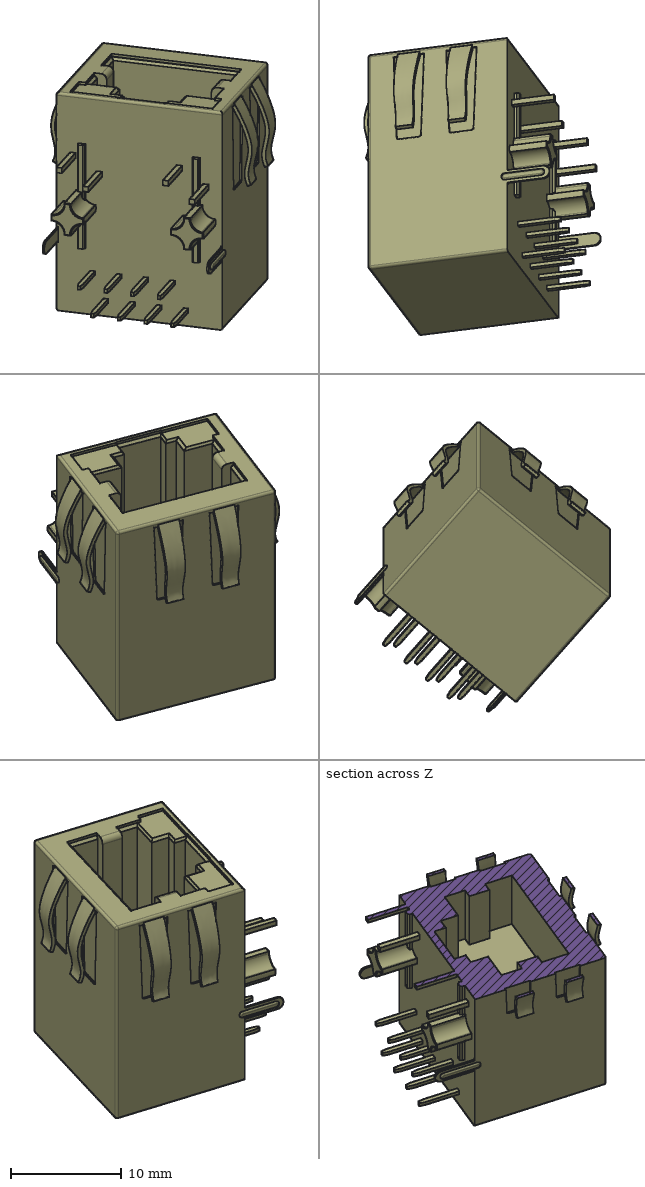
import cadquery as cq
import math


width = 15.87
height = 13.25
length = 21.25
edge_radius = 0.25
sheet = 0.17
overlap = 0.17

lead_in = 0.25
cavity_depth = 11.69
window_half = 6.18
cavity_half = [
    (5.9, 10.4), (5.9, 3.65), (3.1, 3.65), (3.1, 1.91), (2.06, 1.91), (2.06, 0.76)]
mouth_half = [
    (window_half, 10.62), (window_half, 3.48), (3.38, 3.48), (3.38, 1.75), (2.23, 1.75), (2.23, 0.5)]
window_top = 10.73
lamp_half = 6.8
lamp_top = 3.15
window_bottom = 0.57
window_depth = 0.25
lamp_corner_radius = 0.13

rib_tip = 5.02
rib_low = 5.67
rib_high = 7.71
rib_radius = 0.5

clip_thickness = 0.36
clip_centre_line = (
    (-0.15, 20.8), (0.68, 19.27), (1.13, 18.2), (1.49, 16.32), (1.13, 14.17), (1.38, 12.95))
clip_samples = 16
clip_reach = 2.12
clip_centre_offset = 2.76
clip_side_heights = (4.38, 9.37)
clip_top_width = 2.1
clip_end_width = 1.57
clip_end_z = 12.75
gap_top_width = 2.9
gap_end_width = 2.3
gap_end_z = 12.45
gap_top_z = 20.65
gap_radius = 0.21

pin_length = 4.0
pin_pitch = 2.55
pins_per_row = 4
first_signal_x = -4.46
signal_pin_width = 0.45
signal_pin_thick = 0.36
signal_pin_taper = 0.55
signal_rear_z = 1.55
signal_tip_ratio = 0.6
lamp_pin = 0.5
lamp_pin_places = ((-6.35, 15.32), (-3.82, 13.8), (3.82, 15.32), (6.35, 13.8))
post_x = 5.72
post_z = 10.43
post_radius = 1.57
post_tip_half = 0.32
post_flank_end = 1.34
post_waist = 0.65
post_length = 3.57
post_chamfer = 0.08
rail_start = 6.45
rail_end = 16.55
rail_inner = 5.12
rail_outer = 5.82
rail_nose_inner = 5.3
rail_nose_outer = 5.72
rail_height = 0.45
rail_shoulder = 0.25
tab_z = 7.42
tab_width = 1.23
tab_root_radius = 0.13
bead_width = 0.64
bead_height = 0.17
bead_radius = 0.15
bead_top = 0.55
bead_bottom = -3.5


def box(x0, x1, y0, y1, z0, z1):
    return cq.Workplane("XY").box(x1 - x0, y1 - y0, z1 - z0, centered=False).translate((x0, y0, z0))


def both_sides(shape):
    """A shape together with its mirror image across the centre plane."""
    return shape.union(shape.mirror("YZ"))


def mirrored_outline(right_half):
    """Closed outline from its right half, listed from top to bottom."""
    left_half = [(-x, y) for x, y in reversed(right_half)]
    return right_half + left_half


def make_shell():
    """Outer block, rounded at the rim and along all edges that do not bound the board face."""
    shell = box(-width / 2, width / 2, 0, height, 0, length)
    return shell.edges(">Z or (<Z and (not <Y)) or (>Y and |Z)").fillet(edge_radius)


def make_cavity():
    """Stepped plug cavity, its sloped lead-in and the window in the shield."""
    inner = mirrored_outline(cavity_half)
    outer = mirrored_outline(mouth_half)
    face_z = length - window_depth
    bore = cq.Workplane("XY").workplane(offset=length - cavity_depth).polyline(inner).close().extrude(
        cavity_depth)
    funnel = (
        cq.Workplane("XY").workplane(offset=face_z - lead_in).polyline(inner).close()
        .workplane(offset=lead_in).polyline(outer).close().loft(ruled=True)
    )
    slot = cq.Workplane("XY").workplane(offset=face_z).polyline(outer).close().extrude(window_depth)
    window = box(-window_half, window_half, lamp_top, window_top, face_z, length)
    lamp_window = box(-lamp_half, lamp_half, window_bottom, lamp_top, face_z, length)
    lamp_window = lamp_window.edges("|Z and >Y").fillet(lamp_corner_radius)
    return bore.union(funnel).union(slot).union(window).union(lamp_window)


def make_ribs():
    """Full-depth ribs on both side walls of the cavity, rounded at the mouth."""
    rib = box(rib_tip, window_half + overlap, rib_low, rib_high, length - cavity_depth - overlap, length)
    return both_sides(rib.edges("<X and >Z").fillet(rib_radius))


def tapered_block(top_width, end_width, top_z, end_z, start, reach):
    """Block along X from start, reach long, whose width along Y narrows towards end_z."""
    top_half = top_width / 2
    end_half = end_width / 2
    outline = [(-top_half, top_z), (top_half, top_z), (end_half, end_z), (-end_half, end_z)]
    return cq.Workplane("YZ").workplane(offset=start).polyline(outline).close().extrude(reach)


def make_clip():
    """S-shaped spring leaf standing out along +X from the plane X = 0."""
    centre_line = cq.Edge.makeSpline([cq.Vector(x, 0, z) for x, z in clip_centre_line])
    outer = []
    inner = []
    for i in range(clip_samples + 1):
        point = centre_line.positionAt(i / clip_samples)
        direction = centre_line.tangentAt(i / clip_samples)
        across_x = -direction.z * clip_thickness / 2
        across_z = direction.x * clip_thickness / 2
        outer.append((point.x + across_x, point.z + across_z))
        inner.append((point.x - across_x, point.z - across_z))
    leaf = (
        cq.Workplane("XZ").moveTo(*outer[0]).spline(outer[1:], includeCurrent=True)
        .lineTo(*inner[-1]).spline(inner[-2::-1], includeCurrent=True).close()
        .extrude(clip_top_width)
    )
    leaf = leaf.translate((0, clip_top_width / 2, 0))
    taper = tapered_block(clip_top_width, clip_end_width, length, clip_end_z, -clip_reach, 2 * clip_reach)
    return leaf.intersect(taper)


def make_clip_gap():
    """Pocket in the shield around a clip, below the plane X = 0."""
    gap = tapered_block(gap_top_width, gap_end_width, gap_top_z, gap_end_z, -sheet, sheet)
    return gap.edges("|X and <Z").fillet(gap_radius)


def at_clip_places(shape):
    """Copies of a +X facing shape on both sides and on the face opposite the board."""
    placed = cq.Workplane("XY")
    for y in clip_side_heights:
        placed = placed.add(both_sides(shape.translate((width / 2, y, 0))))
    upward = shape.rotate((0, 0, 0), (0, 0, 1), 90)
    for x in (-clip_centre_offset, clip_centre_offset):
        placed = placed.add(upward.translate((x, height, 0)))
    return placed.combine()


def make_signal_pin(x, z):
    """Flat pin whose tip narrows along X."""
    shank_length = pin_length - signal_pin_taper
    tip_width = signal_pin_width * signal_tip_ratio
    outline = [
        (x - signal_pin_width / 2, overlap), (x + signal_pin_width / 2, overlap),
        (x + signal_pin_width / 2, -shank_length), (x + tip_width / 2, -pin_length),
        (x - tip_width / 2, -pin_length), (x - signal_pin_width / 2, -shank_length)]
    return (
        cq.Workplane("XY").workplane(offset=z - signal_pin_thick / 2).polyline(outline).close()
        .extrude(signal_pin_thick)
    )


def make_pins():
    """Two staggered rows of signal pins and the four lamp pins."""
    pins = cq.Workplane("XY")
    for i in range(pins_per_row):
        x = first_signal_x + i * pin_pitch
        pins = pins.add(make_signal_pin(x, signal_rear_z + pin_pitch))
        pins = pins.add(make_signal_pin(x + pin_pitch / 2, signal_rear_z))
    half = lamp_pin / 2
    for x, z in lamp_pin_places:
        pins = pins.add(box(x - half, x + half, -pin_length, overlap, z - half, z + half))
    return pins.combine()


def turned(x, z, angle):
    """The point (x, z) turned about the origin by an angle in degrees."""
    cosine = math.cos(math.radians(angle))
    sine = math.sin(math.radians(angle))
    return (x * cosine - z * sine, x * sine + z * cosine)


def make_post():
    """Four-pointed locating post with concave flanks."""
    shoulder = math.sqrt(post_radius**2 - post_tip_half**2)
    outline = cq.Workplane("XZ").workplane(offset=-overlap).moveTo(shoulder, -post_tip_half)
    for quarter in range(4):
        angle = quarter * 90
        outline = (
            outline.threePointArc(turned(post_radius, 0, angle), turned(shoulder, post_tip_half, angle))
            .lineTo(*turned(post_flank_end, post_tip_half, angle))
            .threePointArc(
                turned(post_waist, post_waist, angle), turned(post_tip_half, post_flank_end, angle))
            .lineTo(*turned(post_tip_half, shoulder, angle))
        )
    post = outline.close().extrude(post_length + overlap)
    post = post.faces("<Y").chamfer(post_chamfer)
    return post.translate((post_x, 0, post_z))


def make_rail():
    """Stand-off rail along Z with a bevelled nose."""
    outline = [
        (rail_inner, overlap), (rail_outer, overlap), (rail_outer, -rail_shoulder),
        (rail_nose_outer, -rail_height), (rail_nose_inner, -rail_height), (rail_inner, -rail_shoulder)]
    return cq.Workplane("XY").workplane(offset=rail_start).polyline(outline).close().extrude(
        rail_end - rail_start)


def make_ground_tab():
    """Round-ended board tab of the shield with a stiffening bead on its outer face."""
    half = tab_width / 2
    straight_end = half - pin_length
    tab = (
        cq.Workplane("YZ").workplane(offset=width / 2 - sheet).center(0, tab_z)
        .moveTo(0, half + tab_root_radius).radiusArc((-tab_root_radius, half), tab_root_radius)
        .lineTo(straight_end, half).threePointArc((-pin_length, 0), (straight_end, -half))
        .lineTo(-tab_root_radius, -half).radiusArc((0, -half - tab_root_radius), tab_root_radius)
        .lineTo(overlap, -half - tab_root_radius).lineTo(overlap, half + tab_root_radius).close()
        .extrude(sheet)
    )
    bead_length = bead_top - bead_bottom
    bead = (
        cq.Workplane("YZ").workplane(offset=width / 2 - sheet / 2)
        .center((bead_top + bead_bottom) / 2, tab_z).slot2D(bead_length, bead_width)
        .extrude(bead_height + sheet / 2).faces(">X").fillet(bead_radius)
    )
    return tab.union(bead)


body = make_shell().cut(make_cavity()).union(make_ribs())
body = body.cut(at_clip_places(make_clip_gap())).union(at_clip_places(make_clip()))
body = body.union(make_pins())
for feature in (make_rail(), make_post(), make_ground_tab()):
    body = body.union(both_sides(feature))
result = body